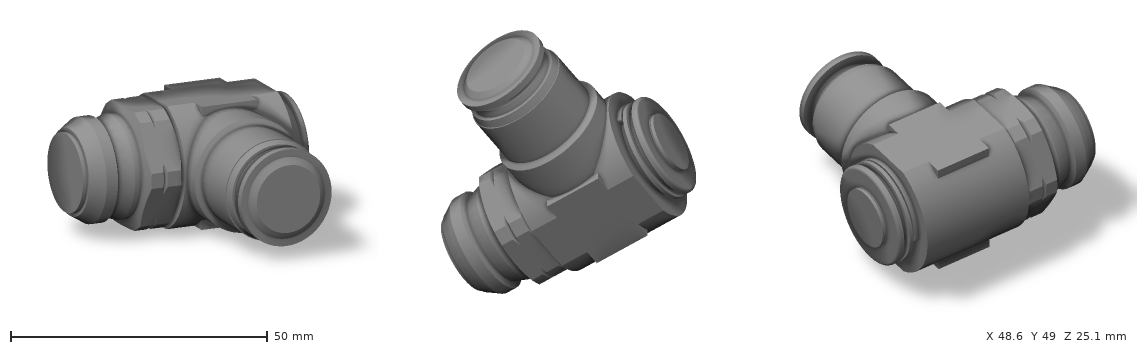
import cadquery as cq
import math


SWIVEL_TILT = 0.5
BODY_RADIUS = 13.5
BODY_HALF_LENGTH = 12.0
FLAT_HALF_HEIGHT = 12.5
PAD_HALF_WIDTH = 8.55
PAD_HALF_LENGTH = 6.05

SHOULDER_END = 16.85
SHOULDER_RADIUS = 11.55
SLEEVE_START = 17.6
SLEEVE_END = 28.0
SLEEVE_RADIUS = 10.3
COLLAR_START_RADIUS = 10.1
COLLAR_END = 29.65
COLLAR_RADIUS = 9.65
COLLET_RADIUS = 8.9
COLLET_END_RADIUS = 8.45
NECK_START = 31.05
NECK_RADIUS = 7.5
NECK_FILLET = 0.4
RELEASE_RING_START = 32.6
RELEASE_RING_END = 34.0
RELEASE_RING_RADIUS = 9.8
RELEASE_CONE_RADIUS = 8.3
BRANCH_END = 35.0
BRANCH_END_RADIUS = 6.85
SLOT_LENGTH = 0.6
SLOT_WIDTH = 0.95

NUT_HALF_FLATS = 12.0
NUT_HALF_CORNERS = 13.0
NUT_END = -20.0
NUT_END_RADIUS = 10.5
NUT_BACK_ANGLE = 30.0
NUT_FRONT_ANGLE = 21.0
NUT_GROOVE_RADIUS = 12.4
NUT_GROOVE_HALF_WIDTH = 0.4
NUT_BLANK_RADIUS = 14.7

STEM_RADIUS = 10.5
STEM_TAPER_START = -21.4
STEM_TAPER_END = -24.45
STEM_TAPER_RADIUS = 9.4
PLUG_START = -25.15
PLUG_RADIUS = 10.6
PLUG_CONE_START = -27.6
PLUG_CONE_END = -30.55
PLUG_CONE_RADIUS = 8.75
STEM_END = -31.5
STEM_END_RADIUS = 8.0

CAP_CORE_RADIUS = 9.05
CAP_DISC_RADIUS = 10.45
CAP_DISC_START = 13.25
CAP_DISC_END = 14.05
CAP_FLANGE_START = 15.35
CAP_FLANGE_END = 16.55
CAP_FLANGE_ROUND = 0.6
KNOB_BASE_RADIUS = 6.25
KNOB_BASE_END = 16.75
KNOB_RADIUS = 6.12
KNOB_END = 17.5
CLIP_RADIUS = 10.6
CLIP_END = 12.95
CLIP_LOWEST = -0.8
CLIP_ROUND = 0.45

QUARTER_MID = 1 - math.sqrt(0.5)


def revolve_about_y(points):
    """Revolve an outline of (radius, y) points about the Y axis."""
    return cq.Workplane("XY").polyline(points).close().revolve(360, (0, 0), (0, 1))


def box_between(low, high):
    sizes = [b - a for a, b in zip(low, high)]
    return cq.Workplane("XY").box(*sizes, centered=False).translate(low)


def make_branch():
    fillet_start = RELEASE_RING_START - NECK_FILLET
    fillet_mid = (
        RELEASE_RING_START - QUARTER_MID * NECK_FILLET,
        NECK_RADIUS + QUARTER_MID * NECK_FILLET,
    )
    branch = (
        cq.Workplane("XY")
        .lineTo(0, SHOULDER_RADIUS)
        .lineTo(SHOULDER_END, SHOULDER_RADIUS)
        .lineTo(SLEEVE_START, SLEEVE_RADIUS)
        .lineTo(SLEEVE_END, SLEEVE_RADIUS)
        .lineTo(SLEEVE_END, COLLAR_START_RADIUS)
        .lineTo(COLLAR_END, COLLAR_RADIUS)
        .lineTo(COLLAR_END, COLLET_RADIUS)
        .lineTo(NECK_START, COLLET_END_RADIUS)
        .lineTo(NECK_START, NECK_RADIUS)
        .lineTo(fillet_start, NECK_RADIUS)
        .threePointArc(fillet_mid, (RELEASE_RING_START, NECK_RADIUS + NECK_FILLET))
        .lineTo(RELEASE_RING_START, RELEASE_RING_RADIUS)
        .lineTo(RELEASE_RING_END, RELEASE_RING_RADIUS)
        .lineTo(RELEASE_RING_END, RELEASE_CONE_RADIUS)
        .lineTo(BRANCH_END, BRANCH_END_RADIUS)
        .lineTo(BRANCH_END, 0)
        .close()
        .revolve(360, (0, 0), (1, 0))
    )
    slot = box_between(
        (NECK_START, -SLOT_WIDTH / 2, -COLLET_RADIUS),
        (NECK_START + SLOT_LENGTH, SLOT_WIDTH / 2, COLLET_RADIUS),
    )
    return branch.cut(slot)


def make_swivel_body():
    barrel = cq.Workplane("XZ").circle(BODY_RADIUS).extrude(BODY_HALF_LENGTH, both=True)
    flats = cq.Workplane("XY").box(2 * BODY_RADIUS, 2 * BODY_HALF_LENGTH, 2 * FLAT_HALF_HEIGHT)
    pads = cq.Workplane("XY").box(2 * PAD_HALF_WIDTH, 2 * PAD_HALF_LENGTH, 2 * FLAT_HALF_HEIGHT)
    body = barrel.intersect(flats).union(pads).union(make_branch())
    return body.rotate((0, 0, 0), (0, 1, 0), SWIVEL_TILT)


def nut_prism(half_flats):
    """Hexagonal prism as long as the nut, with corners on the X axis."""
    diameter = 2 * half_flats / math.cos(math.pi / 6)
    length = -BODY_HALF_LENGTH - NUT_END
    return (
        cq.Workplane("XZ", origin=(0, -BODY_HALF_LENGTH, 0))
        .polygon(6, diameter)
        .extrude(length)
    )


def make_nut():
    corners = nut_prism(NUT_HALF_CORNERS).rotate((0, 0, 0), (0, 1, 0), 30)
    nut = nut_prism(NUT_HALF_FLATS).intersect(corners)

    back = -BODY_HALF_LENGTH
    back_drop = (NUT_BLANK_RADIUS - NUT_HALF_FLATS) * math.tan(math.radians(NUT_BACK_ANGLE))
    front_drop = (NUT_BLANK_RADIUS - NUT_END_RADIUS) * math.tan(math.radians(NUT_FRONT_ANGLE))
    blank = revolve_about_y([
        (0, back),
        (NUT_HALF_FLATS, back),
        (NUT_BLANK_RADIUS, back - back_drop),
        (NUT_BLANK_RADIUS, NUT_END + front_drop),
        (NUT_END_RADIUS, NUT_END),
        (0, NUT_END),
    ])

    groove_y = (back + NUT_END) / 2
    groove_slope = NUT_GROOVE_HALF_WIDTH / (NUT_HALF_CORNERS - NUT_GROOVE_RADIUS)
    blank_half_width = groove_slope * (NUT_BLANK_RADIUS - NUT_GROOVE_RADIUS)
    groove = revolve_about_y([
        (NUT_GROOVE_RADIUS, groove_y),
        (NUT_BLANK_RADIUS, groove_y + blank_half_width),
        (NUT_BLANK_RADIUS, groove_y - blank_half_width),
    ])
    return nut.intersect(blank).cut(groove)


def make_stem():
    return revolve_about_y([
        (0, NUT_END),
        (STEM_RADIUS, NUT_END),
        (STEM_RADIUS, STEM_TAPER_START),
        (STEM_TAPER_RADIUS, STEM_TAPER_END),
        (PLUG_RADIUS, PLUG_START),
        (PLUG_RADIUS, PLUG_CONE_START),
        (PLUG_CONE_RADIUS, PLUG_CONE_END),
        (STEM_END_RADIUS, PLUG_CONE_END),
        (STEM_END_RADIUS, STEM_END),
        (0, STEM_END),
    ])


def make_cap():
    round_mid = (
        CAP_DISC_RADIUS - QUARTER_MID * CAP_FLANGE_ROUND,
        CAP_FLANGE_END - QUARTER_MID * CAP_FLANGE_ROUND,
    )
    return (
        cq.Workplane("XY")
        .moveTo(0, BODY_HALF_LENGTH)
        .lineTo(CAP_CORE_RADIUS, BODY_HALF_LENGTH)
        .lineTo(CAP_CORE_RADIUS, CAP_DISC_START)
        .lineTo(CAP_DISC_RADIUS, CAP_DISC_START)
        .lineTo(CAP_DISC_RADIUS, CAP_DISC_END)
        .lineTo(CAP_CORE_RADIUS, CAP_DISC_END)
        .lineTo(CAP_CORE_RADIUS, CAP_FLANGE_START)
        .lineTo(CAP_DISC_RADIUS, CAP_FLANGE_START)
        .lineTo(CAP_DISC_RADIUS, CAP_FLANGE_END - CAP_FLANGE_ROUND)
        .threePointArc(round_mid, (CAP_DISC_RADIUS - CAP_FLANGE_ROUND, CAP_FLANGE_END))
        .lineTo(KNOB_BASE_RADIUS, CAP_FLANGE_END)
        .lineTo(KNOB_BASE_RADIUS, KNOB_BASE_END)
        .lineTo(KNOB_RADIUS, KNOB_BASE_END)
        .lineTo(KNOB_RADIUS, KNOB_END)
        .lineTo(0, KNOB_END)
        .close()
        .revolve(360, (0, 0), (0, 1))
    )


def make_clip():
    """Half-round clip over the upper side of the cap core, against the body."""
    disc = (
        cq.Workplane("XZ", origin=(0, CLIP_END, 0))
        .circle(CLIP_RADIUS)
        .extrude(CLIP_END - BODY_HALF_LENGTH)
    )
    upper_side = box_between(
        (-CLIP_RADIUS, BODY_HALF_LENGTH, CLIP_LOWEST),
        (CLIP_RADIUS, CLIP_END, CLIP_RADIUS),
    )
    return disc.intersect(upper_side).edges("|Y").edges("<Z").fillet(CLIP_ROUND)


result = (
    make_swivel_body()
    .union(make_nut())
    .union(make_stem())
    .union(make_cap())
    .union(make_clip())
)